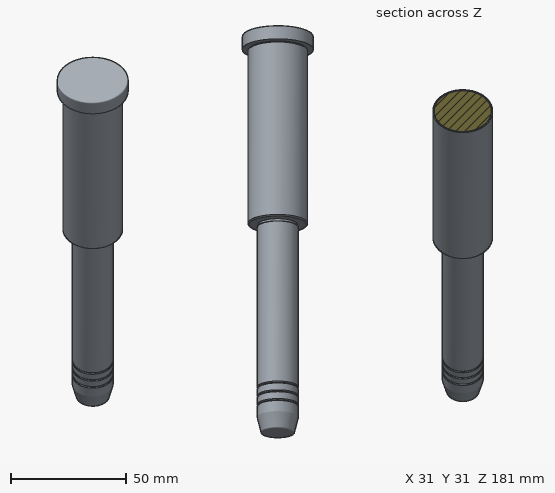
import cadquery as cq

total_length = 181.0
head_diameter = 31.0
head_thickness = 6.2
head_edge = 0.5
body_diameter = 26.0
body_length = 79.8
body_edge = 0.5
pin_diameter = 18.0

head_relief_depth = 0.5
head_relief_width = 0.5
pin_relief_depth = 0.4
pin_relief_width = 1.0

groove_width = 0.9
groove_depth = 0.4
groove_count = 3
groove_pitch = 4.0
lowest_groove_center = 12.5

tip_length = 7.0
tip_diameter = 14.5
tip_edge = 0.5

head_bottom = total_length - head_thickness
body_bottom = head_bottom - body_length


def cylinder(diameter, bottom, top):
    """Solid cylinder on the Z axis between two heights."""
    return cq.Workplane("XY").workplane(offset=bottom).circle(diameter / 2).extrude(top - bottom)


def cut_relief(part, diameter, depth, bottom, width):
    """Cut a square-sided ring into a cylindrical surface."""
    outer = cylinder(diameter, bottom, bottom + width)
    core = cylinder(diameter - 2 * depth, bottom, bottom + width)
    return part.cut(outer.cut(core))


head = cylinder(head_diameter, head_bottom, total_length).faces(">Z").edges().fillet(head_edge)
body = cylinder(body_diameter, body_bottom, head_bottom).faces("<Z").chamfer(body_edge)
pin = cylinder(pin_diameter, tip_length, body_bottom)

tip = (
    cq.Workplane("XY")
    .circle(tip_diameter / 2)
    .workplane(offset=tip_length)
    .circle(pin_diameter / 2)
    .loft(ruled=True)
    .faces("<Z")
    .edges()
    .fillet(tip_edge)
)

result = head.union(body).union(pin).union(tip)

result = cut_relief(result, body_diameter, head_relief_depth, head_bottom - head_relief_width, head_relief_width)
result = cut_relief(result, pin_diameter, pin_relief_depth, body_bottom - pin_relief_width, pin_relief_width)

pin_radius = pin_diameter / 2
for index in range(groove_count):
    center = lowest_groove_center + index * groove_pitch
    groove = (
        cq.Workplane("XZ")
        .moveTo(pin_radius, center - groove_width / 2)
        .lineTo(pin_radius - groove_depth, center)
        .lineTo(pin_radius, center + groove_width / 2)
        .close()
        .revolve(360, (0, 0, 0), (0, 1, 0))
    )
    result = result.cut(groove)